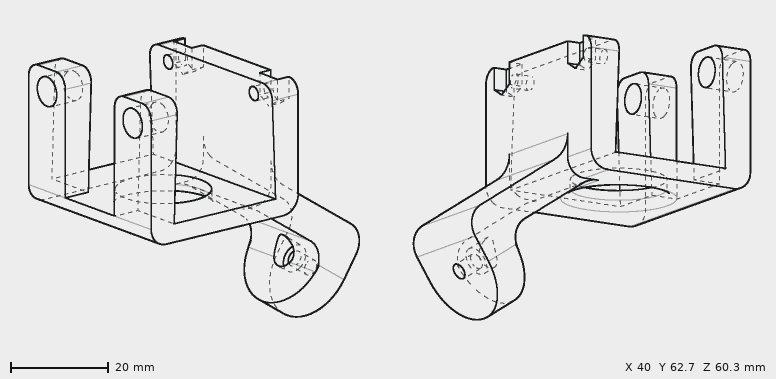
import cadquery as cq
import math

body_width = 40.0
body_depth = 39.1
base_thickness = 4.0
base_corner_radius = 4.0
front_height = 30.5
rear_height = 28.5
front_root = 6.15
front_tip = 7.0
rear_root = 6.0
rear_tip = 7.0
post_width = 12.0
top_corner_radius = 3.0
base_hole_diameter = 20.0
base_hole_y = 19.5
base_hole_rounding = 2.0

hole_spacing = 27.95
hole_z = 25.5
post_hole_diameter = 6.3
wall_hole_diameter = 3.0
nut_width = 5.8
nut_slot_depth = 3.0

arm_angle = 33.5
arm_width = 22.1
arm_thickness = 7.3
foot_thickness = 8.0
elbow_y = 53.85
elbow_z = -13.3
elbow_inner_radius = 5.0
elbow_outer_radius = 4.9
round_centre_drop = 3.5
junction_radius = 7.0
arm_embed = 1.0
foot_hole_diameter = 3.4
screw_head_diameter = 6.0
screw_head_depth = 3.0

cut_margin = 0.6


def make_body():
    """Tapered U profile with rounded lower corners and a clear gap between the front posts."""
    profile = [
        (0, 0),
        (body_depth, 0),
        (body_depth, rear_height),
        (body_depth - rear_tip, rear_height),
        (body_depth - rear_root, base_thickness),
        (front_root, base_thickness),
        (front_tip, front_height),
        (0, front_height),
    ]
    body = cq.Workplane("YZ").polyline(profile).close().extrude(body_width / 2, both=True)
    body = body.faces("<Z").edges("|X").fillet(base_corner_radius)

    gap_depth = front_tip + cut_margin
    gap = cq.Workplane("XY").box(
        body_width - 2 * post_width, gap_depth, front_height, centered=(True, False, False)
    ).translate((0, -cut_margin, base_thickness))
    body = body.cut(gap)

    post_x = (body_width - post_width) / 2
    floor = cq.Workplane("XY").box(
        body_width, body_depth, base_thickness, centered=(True, False, False)
    )
    envelope = floor.union(rounded_panel(0, body_width, body_depth - rear_tip, rear_tip, rear_height))
    for x in (-post_x, post_x):
        envelope = envelope.union(rounded_panel(x, post_width, 0, front_tip, front_height))
    return body.intersect(envelope)


def rounded_panel(x, width, y_start, depth, height):
    """Upright panel with its two top corners rounded."""
    panel = cq.Workplane("XY").box(width, depth, height, centered=(True, False, False))
    return panel.faces(">Z").edges("|Y").fillet(top_corner_radius).translate((x, y_start, 0))


def drill_along_y(x, diameter, y_start, y_end):
    return cq.Workplane("XZ", origin=(x, y_start, hole_z)).circle(diameter / 2).extrude(y_start - y_end)


def nut_slot(x):
    """Slot open at the rear and top, with a V bottom that seats a corner of a hex nut."""
    half = nut_width / 2
    shoulder = half * math.tan(math.radians(30))
    point = half / math.cos(math.radians(30))
    top = rear_height - hole_z + cut_margin
    outline = [(-half, top), (-half, -shoulder), (0, -point), (half, -shoulder), (half, top)]
    slot = cq.Workplane("XZ", origin=(x, body_depth + cut_margin, hole_z)).polyline(outline).close()
    return slot.extrude(nut_slot_depth + cut_margin)


slope = math.radians(arm_angle)
elbow = cq.Plane(
    origin=(0, elbow_y, elbow_z),
    xDir=(0, -math.cos(slope), math.sin(slope)),
    normal=(-1, 0, 0),
)


def make_arm():
    """L-shaped arm and foot; the foot ends in a half round."""
    arm_length = -elbow_z / math.sin(slope) + arm_embed
    foot_length = round_centre_drop + arm_width / 2
    profile = [
        (0, 0),
        (arm_length, 0),
        (arm_length, arm_thickness),
        (-foot_thickness, arm_thickness),
        (-foot_thickness, -foot_length),
        (0, -foot_length),
    ]
    arm = cq.Workplane(elbow).polyline(profile).close().extrude(arm_width / 2, both=True)
    inner_corner = elbow.toWorldCoords((0, 0, 0))
    outer_corner = elbow.toWorldCoords((-foot_thickness, arm_thickness, 0))
    arm = arm.edges(cq.NearestToPointSelector(inner_corner.toTuple())).fillet(elbow_inner_radius)
    arm = arm.edges(cq.NearestToPointSelector(outer_corner.toTuple())).fillet(elbow_outer_radius)
    outline = foot_bore(arm_width, -foot_thickness, foot_thickness)
    tip = (
        cq.Workplane(elbow)
        .center(-foot_thickness / 2, -round_centre_drop - arm_width / 4)
        .rect(foot_thickness, arm_width / 2)
        .extrude(arm_width / 2, both=True)
    )
    return arm.cut(tip.cut(outline))


def foot_bore(diameter, start, length):
    """Cylinder square to the foot, on the centre of its rounded end."""
    origin = elbow.toWorldCoords((start, -round_centre_drop, 0))
    return cq.Workplane("XY").add(
        cq.Solid.makeCylinder(diameter / 2, length, origin, elbow.xDir)
    )


def join_arm(body, arm):
    """Join the arm and fillet its junctions with the rear wall and with the underside."""
    part = body.union(arm)
    upper_start = elbow.toWorldCoords((0, arm_thickness, 0))
    wall_z = upper_start.z + (upper_start.y - body_depth) * math.tan(slope)
    underside_y = elbow_y + elbow_z / math.tan(slope)
    for point in ((0, body_depth, wall_z), (0, underside_y, 0)):
        part = part.edges(cq.NearestToPointSelector(point)).fillet(junction_radius)
    return part


result = join_arm(make_body(), make_arm())

base_hole = cq.Workplane("XY").center(0, base_hole_y).circle(base_hole_diameter / 2)
result = result.cut(base_hole.extrude(base_thickness))
underside_rim = cq.NearestToPointSelector((0, base_hole_y, 0))
result = result.edges(underside_rim).fillet(base_hole_rounding)

for hole_x in (-hole_spacing / 2, hole_spacing / 2):
    result = result.cut(drill_along_y(hole_x, post_hole_diameter, 0, front_tip))
    result = result.cut(drill_along_y(hole_x, wall_hole_diameter, body_depth - rear_tip, body_depth))
    result = result.cut(nut_slot(hole_x))

result = result.cut(foot_bore(foot_hole_diameter, -foot_thickness, foot_thickness))
result = result.cut(foot_bore(screw_head_diameter, -screw_head_depth, screw_head_depth + elbow_inner_radius))